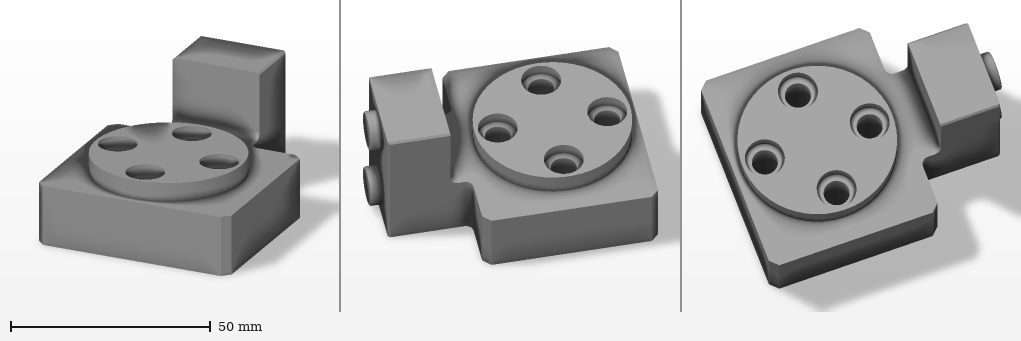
import cadquery as cq

base_width = 53.0
base_depth = 45.05
base_height = 16.0
corner_chamfer = 2.0

block_width = 24.0
block_depth = 16.0
total_height = 34.0
edge_chamfer = 0.5
neck_fillet = 2.0
step_fillet = 2.0

pad_diameter = 40.0
pad_height = 5.0
pad_center_y = 21.95
hole_circle_diameter = 28.0
hole_count = 4
hole_diameter = 6.5
counterbore_diameter = 10.0
counterbore_depth = 3.0

total_depth = 69.5
pin_diameter = 10.0
pin_length = 3.0
pin_chamfer = 0.3
lower_pin_z = 6.95
pin_spacing = 20.0
pin_count = 2

block_back_y = total_depth - pin_length
block_front_y = block_back_y - block_depth
pad_top_z = base_height + pad_height


def make_plate():
    """Flat plate with chamfered corners and a neck reaching the back face."""
    plate = (
        cq.Workplane("XY")
        .rect(base_width, base_depth)
        .extrude(base_height)
        .edges("|Z")
        .chamfer(corner_chamfer)
        .translate((0, base_depth / 2, 0))
    )
    neck = cq.Workplane("XY").box(
        block_width, block_back_y - pad_center_y, base_height, centered=(True, False, False)
    ).translate((0, pad_center_y, 0))
    selection_margin = 0.7
    inner_corners = cq.selectors.BoxSelector(
        (-block_width / 2 - selection_margin, base_depth - selection_margin, 0),
        (block_width / 2 + selection_margin, base_depth + selection_margin, base_height),
    )
    return plate.union(neck).edges("|Z").edges(inner_corners).fillet(neck_fillet)


def add_upright_block(body):
    """Raise the block, round its foot and chamfer its top and back side edges."""
    block = cq.Workplane("XY").box(
        block_width, block_depth, total_height, centered=(True, False, False)
    ).translate((0, block_front_y, 0))
    body = body.union(block)
    foot_edge = cq.selectors.NearestToPointSelector((0, block_front_y, base_height))
    body = body.edges("|X").edges(foot_edge).fillet(step_fillet)
    body = body.faces(">Z").edges("|Y").chamfer(edge_chamfer)
    return body.faces(">Y").edges("|Z").chamfer(edge_chamfer)


def add_pad(body):
    """Add the round pad and its ring of counterbored holes."""
    pad = (
        cq.Workplane("XY", origin=(0, pad_center_y, base_height))
        .circle(pad_diameter / 2)
        .extrude(pad_height)
    )
    return (
        body.union(pad)
        .copyWorkplane(cq.Workplane("XY", origin=(0, pad_center_y, pad_top_z)))
        .polarArray(hole_circle_diameter / 2, 0, 360, hole_count)
        .cboreHole(hole_diameter, counterbore_diameter, counterbore_depth)
    )


def make_pin(center_z):
    """Short locating pin seated on the back face, chamfered at its free end."""
    return (
        cq.Workplane("XZ", origin=(0, block_back_y, center_z))
        .circle(pin_diameter / 2)
        .extrude(-pin_length)
        .faces(">Y")
        .chamfer(pin_chamfer)
    )


bracket = add_pad(add_upright_block(make_plate()))
pins = [make_pin(lower_pin_z + index * pin_spacing) for index in range(pin_count)]

result = cq.Compound.makeCompound([bracket.solids().val(), *[pin.val() for pin in pins]])